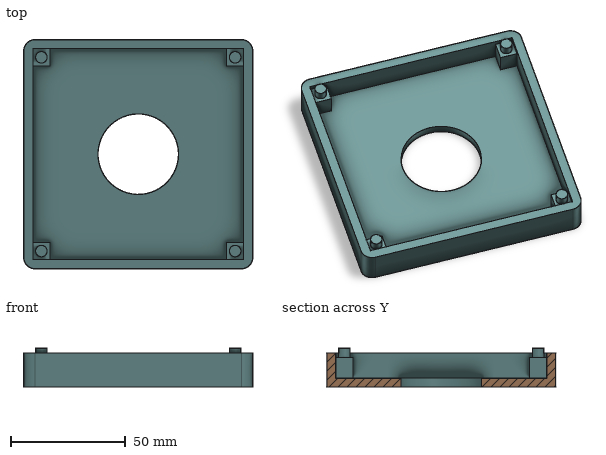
import cadquery as cq

side = 100.0
tray_height = 15.0
corner_radius = 5.0
wall = 4.0
cavity_side = side - 2 * wall
floor_thickness = 4.0
opening_diameter = 35.0

post_side = 7.5
post_top = 13.0
pin_diameter = 5.0
pin_top = 17.0
post_spacing = cavity_side - post_side


def make_tray():
    """Square tray with rounded outer corners and a sharp-cornered cavity."""
    body = cq.Workplane("XY").box(side, side, tray_height, centered=(True, True, False))
    body = body.edges("|Z").fillet(corner_radius)
    cavity = (
        cq.Workplane("XY", origin=(0, 0, floor_thickness))
        .rect(cavity_side, cavity_side)
        .extrude(tray_height - floor_thickness)
    )
    return body.cut(cavity)


def make_corner_posts():
    """Square posts in the cavity corners with round pins running up through them."""
    corners = cq.Workplane("XY").rect(post_spacing, post_spacing, forConstruction=True).vertices()
    posts = corners.rect(post_side, post_side).extrude(post_top)
    pins = corners.circle(pin_diameter / 2).extrude(pin_top)
    return posts.union(pins)


opening = cq.Workplane("XY").circle(opening_diameter / 2).extrude(floor_thickness)

result = make_tray().union(make_corner_posts()).cut(opening)